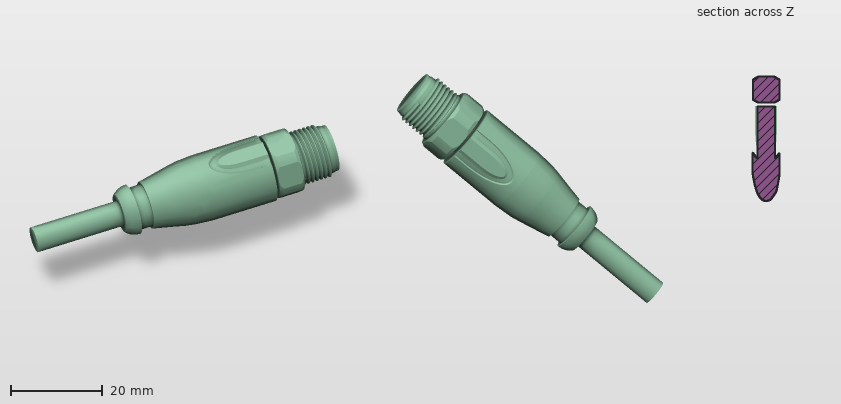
import cadquery as cq
import math

total_length = 69.3

cable_radius = 2.85
ring_back_y = 19.95
ring_front_y = 23.1
ring_radius = 5.6
ring_back_radius = 4.3
ring_rim_width = 0.15
rear_neck_radius = 4.8

body_back_y = 26.05
body_front_y = 54.0
body_radius = 7.5
body_back_radius = 5.35
taper_start_y = 33.25
taper_start_radius = 6.85
blend_start_y = 39.15

front_neck_radius = 4.3
nut_back_y = 54.75
nut_front_y = 60.5
nut_across_flats = 14.0
nut_corner_radius = 7.5
nut_end_radius = 7.1
nut_chamfer_length = 0.75

thread_crest_radius = 6.0
thread_root_radius = 5.4
thread_pitch = 1.0
thread_crest_width = 0.15
thread_foot_width = 1.0
thread_start_y = 61.1
thread_turns = 6.25
collar_length = 0.55
nose_radius = 5.2
nose_tip_length = 0.6
nose_step_length = 1.25

band_half_width = 3.9
band_tip_y = 40.8
band_tip_length = 9.4
band_depth = 0.35
band_floor_bevel = 0.31
plate_base_half_width = 2.35
plate_base_tip_y = 42.0
plate_base_tip_length = 5.95
plate_top_half_width = 1.65
plate_top_tip_y = 43.0
plate_top_tip_length = 5.0
plate_height = 0.6

overlap = 0.15


def cylinder(radius, back_y, front_y):
    return cq.Workplane("XZ", origin=(0, back_y, 0)).circle(radius).extrude(back_y - front_y)


def revolve_about_y(profile):
    return profile.close().revolve(360, (0, 0, 0), (0, 1, 0))


def make_cable_and_ring():
    cable = cylinder(cable_radius, 0, ring_front_y)
    neck = cylinder(rear_neck_radius, ring_front_y - overlap, body_back_y + overlap)
    ring = revolve_about_y(
        cq.Workplane("XY")
        .moveTo(0, ring_front_y)
        .lineTo(ring_radius, ring_front_y)
        .lineTo(ring_radius, ring_front_y - ring_rim_width)
        .tangentArcPoint((ring_back_radius, ring_back_y), relative=False)
        .lineTo(0, ring_back_y)
    )
    return cable.union(ring).union(neck)


def make_body():
    return revolve_about_y(
        cq.Workplane("XY")
        .moveTo(0, body_front_y)
        .lineTo(body_radius, body_front_y)
        .lineTo(body_radius, blend_start_y)
        .tangentArcPoint((taper_start_radius, taper_start_y), relative=False)
        .lineTo(body_back_radius, body_back_y)
        .lineTo(0, body_back_y)
    )


def badge_outline(workplane, half_width, tip_y, tip_length):
    """Straight sides from the body's front end, closed by a half ellipse."""
    tip_start_y = tip_y + tip_length
    return (
        workplane.moveTo(-half_width, body_front_y)
        .lineTo(-half_width, tip_start_y)
        .ellipseArc(half_width, tip_length, 180, 360)
        .lineTo(half_width, body_front_y)
        .close()
    )


def make_badge_band():
    """Shell under the body surface inside the U outline, its floor bevelled along the U-shaped wall."""
    core = cylinder(body_radius - band_depth, 0, total_length)
    column = badge_outline(cq.Workplane("XY"), band_half_width, band_tip_y, band_tip_length)
    shell = column.extrude(2 * body_radius).cut(core)
    floor_edges = shell.faces("<Z").edges("not(>Y)")
    return floor_edges.chamfer(band_floor_bevel)


def make_badge_plate():
    """Flat-topped plate with sloping sides, level with the top of the body."""
    base_z = body_radius - plate_height
    base = badge_outline(
        cq.Workplane("XY").workplane(offset=base_z),
        plate_base_half_width, plate_base_tip_y, plate_base_tip_length,
    )
    return badge_outline(
        base.workplane(offset=plate_height),
        plate_top_half_width, plate_top_tip_y, plate_top_tip_length,
    ).loft(ruled=True)


def add_badges(body):
    band = make_badge_band()
    plate = make_badge_plate()
    for side_angle in (0, 180):
        body = body.cut(band.rotate((0, 0, 0), (0, 1, 0), side_angle))
        body = body.union(plate.rotate((0, 0, 0), (0, 1, 0), side_angle))
    return body


def make_nut():
    """Hexagon with flats facing +Z and -Z, its corners turned round and chamfered at both ends."""
    across_corners = nut_across_flats / math.cos(math.pi / 6)
    hexagon = (
        cq.Workplane("XZ", origin=(0, nut_back_y, 0))
        .polygon(6, across_corners)
        .extrude(nut_back_y - nut_front_y)
    )
    turned_blank = revolve_about_y(
        cq.Workplane("XY")
        .moveTo(0, nut_back_y)
        .lineTo(nut_end_radius, nut_back_y)
        .lineTo(nut_corner_radius, nut_back_y + nut_chamfer_length)
        .lineTo(nut_corner_radius, nut_front_y - nut_chamfer_length)
        .lineTo(nut_end_radius, nut_front_y)
        .lineTo(0, nut_front_y)
    )
    neck = cylinder(front_neck_radius, body_front_y - overlap, nut_back_y + overlap)
    return hexagon.intersect(turned_blank).union(neck)


def make_nose():
    """Thread core with a collar against the nut and a stepped-down tip."""
    collar_front_y = nut_front_y + collar_length
    collar_slope = thread_crest_radius - thread_root_radius
    return revolve_about_y(
        cq.Workplane("XY")
        .moveTo(0, nut_front_y - overlap)
        .lineTo(thread_crest_radius, nut_front_y - overlap)
        .lineTo(thread_crest_radius, collar_front_y)
        .lineTo(thread_root_radius, collar_front_y + collar_slope)
        .lineTo(thread_root_radius, total_length - nose_step_length)
        .lineTo(nose_radius, total_length - nose_tip_length)
        .lineTo(nose_radius, total_length)
        .lineTo(0, total_length)
    )


def make_thread():
    """Right-handed helical ridge, its foot sunk slightly into the core."""
    foot_radius = thread_root_radius - overlap
    helix = cq.Wire.makeHelix(thread_pitch, thread_turns * thread_pitch, thread_root_radius)
    ridge = (
        cq.Workplane("XZ")
        .moveTo(foot_radius, -thread_foot_width / 2)
        .lineTo(thread_crest_radius, -thread_crest_width / 2)
        .lineTo(thread_crest_radius, thread_crest_width / 2)
        .lineTo(foot_radius, thread_foot_width / 2)
        .close()
        .sweep(cq.Workplane(helix), isFrenet=True)
    )
    return ridge.rotate((0, 0, 0), (1, 0, 0), -90).translate((0, thread_start_y, 0))


body = add_badges(make_body())
front = make_nose().union(make_thread()).union(make_nut())
result = make_cable_and_ring().union(body).union(front)